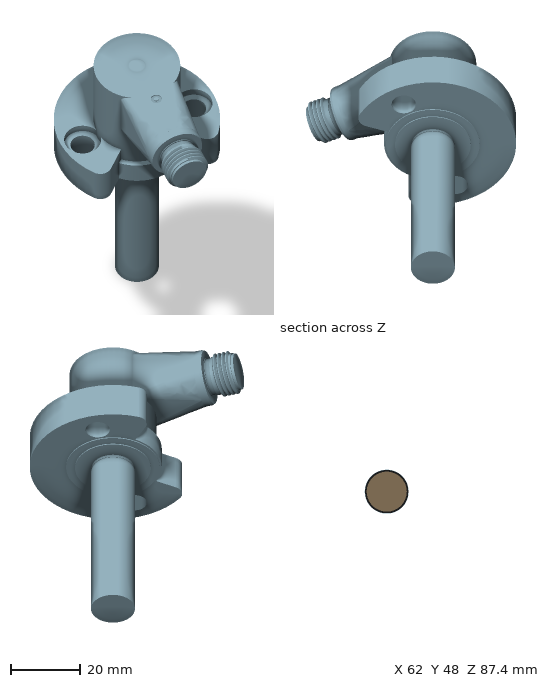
import cadquery as cq
import math

neck_bottom_z = 50.5
underside_z = 52.6
flange_top_z = 63.5
body_top_z = 86.8
overall_height = 87.4

overall_length = 62.0

rod_diameter = 12.7
neck_diameter = 12.4
neck_groove_diameter = 12.15
neck_groove_z = 51.0
neck_groove_width = 0.3

pad_step = 0.3
outer_pad_diameter = 27.0
inner_pad_diameter = 21.85

flange_diameter = 48.0
flange_radius = flange_diameter / 2
opening_half_angle = math.radians(45)
horn_fillet = 3.3
hub_diameter = 28.1
hub_top_z = 59.3

hole_x = 1.0
hole_y = 17.5
hole_diameter = 7.0
counterbore_diameter = 10.7
counterbore_depth = 2.3

body_diameter = 25.0
button_diameter = 5.1
button_overlap = 0.3

collar_diameter = 16.2
collar_start_x = 26.8
collar_end_x = 29.1
collar_chamfer_length = 0.7
collar_chamfer_depth = 0.3
arm_start_x = 5.25
arm_start_width = 18.1
arm_start_corner = 0.9
arm_end_flat = 0.02
arm_axis_z = body_top_z - collar_diameter / 2

indicator_x = 14.0
indicator_outer_diameter = 3.15
indicator_inner_diameter = 1.4
indicator_depth = 0.3

connector_end_x = overall_length - flange_radius
connector_diameter = 10.6
connector_shoulder_end_x = 29.4
thread_root_diameter = 11.2
thread_zone_start_x = 30.85
thread_zone_end_x = 37.15
thread_diameter = 12.7
thread_start_x = 31.9
thread_turns = 4
thread_length = 5.1
thread_pitch = thread_length / thread_turns
thread_root_width = 1.1
thread_crest_width = 0.3
thread_overlap = 0.1


def disc(diameter, bottom_z, top_z):
    """Cylinder on the Z axis between two heights."""
    return cq.Workplane("XY").workplane(offset=bottom_z).circle(diameter / 2).extrude(top_z - bottom_z)


def arm_disc(diameter, start_x, end_x):
    """Cylinder on the arm axis between two X positions."""
    plane = cq.Workplane("YZ", origin=(start_x, 0, arm_axis_z))
    return plane.circle(diameter / 2).extrude(end_x - start_x)


def make_rod():
    """Rod, grooved neck and the stepped pads that meet the flange."""
    groove_top_z = neck_groove_z + neck_groove_width
    inner_pad_z = underside_z - 2 * pad_step
    rod = disc(rod_diameter, 0, neck_bottom_z)
    rod = rod.union(disc(neck_diameter, neck_bottom_z, neck_groove_z))
    rod = rod.union(disc(neck_groove_diameter, neck_groove_z, groove_top_z))
    rod = rod.union(disc(neck_diameter, groove_top_z, inner_pad_z))
    rod = rod.union(disc(inner_pad_diameter, inner_pad_z, underside_z))
    return rod.union(disc(outer_pad_diameter, underside_z - pad_step, underside_z))


def make_flange():
    """Disc with an open sector, rounded horns and two counterbored holes."""
    edge_x = flange_radius * math.cos(opening_half_angle)
    edge_y = flange_radius * math.sin(opening_half_angle)
    flange = (
        cq.Workplane("XY", origin=(0, 0, underside_z))
        .lineTo(edge_x, edge_y)
        .threePointArc((-flange_radius, 0), (edge_x, -edge_y))
        .close()
        .extrude(flange_top_z - underside_z)
    )
    flange = flange.edges("|Z").edges(">X").fillet(horn_fillet)
    return (
        flange.faces(">Z")
        .workplane(origin=(0, 0, flange_top_z))
        .pushPoints([(hole_x, hole_y), (hole_x, -hole_y)])
        .cboreHole(hole_diameter, counterbore_diameter, counterbore_depth)
    )


def make_button():
    """Low spherical cap on top of the body."""
    cap_height = overall_height - body_top_z
    cap_radius = button_diameter / 2
    sphere_radius = (cap_radius**2 + cap_height**2) / (2 * cap_height)
    sphere = cq.Workplane("XY").sphere(sphere_radius)
    sphere = sphere.translate((0, 0, overall_height - sphere_radius))
    return sphere.intersect(disc(body_diameter, body_top_z - button_overlap, overall_height))


def rounded_section(x, width, height, corner):
    """Rounded rectangle across the arm axis at an X position."""
    sketch = cq.Sketch().rect(width, height).vertices().fillet(corner)
    return sketch.moved(cq.Location(cq.Vector(0, 0, x)))


def make_arm():
    """Side arm with flat faces tapering to its collar, plus the indicator ring."""
    end_corner = (collar_diameter - arm_end_flat) / 2
    arm = (
        cq.Workplane("YZ", origin=(0, 0, arm_axis_z))
        .placeSketch(
            rounded_section(arm_start_x, arm_start_width, collar_diameter, arm_start_corner),
            rounded_section(collar_start_x, collar_diameter, collar_diameter, end_corner),
        )
        .loft(ruled=True)
    )
    collar = arm_disc(collar_diameter, collar_start_x, collar_end_x)
    arm = arm.union(collar.faces(">X").chamfer(collar_chamfer_length, collar_chamfer_depth))
    ring = (
        cq.Workplane("XY", origin=(indicator_x, 0, body_top_z))
        .circle(indicator_outer_diameter / 2)
        .circle(indicator_inner_diameter / 2)
        .extrude(-indicator_depth)
    )
    return arm.cut(ring)


def make_connector():
    """Connector core with a shoulder and a helical thread."""
    root_radius = thread_root_diameter / 2
    helix = cq.Wire.makeHelix(thread_pitch, thread_length, root_radius)
    root = root_radius - thread_overlap
    crest = thread_diameter / 2
    thread = (
        cq.Workplane("XZ")
        .moveTo(root, -thread_root_width / 2)
        .lineTo(crest, -thread_crest_width / 2)
        .lineTo(crest, thread_crest_width / 2)
        .lineTo(root, thread_root_width / 2)
        .close()
        .sweep(cq.Workplane(helix), isFrenet=True)
        .rotate((0, 0, 0), (0, 0, 1), 180)
        .rotate((0, 0, 0), (0, 1, 0), 90)
        .translate((thread_start_x, 0, arm_axis_z))
    )
    connector = arm_disc(connector_diameter, collar_end_x, connector_end_x)
    connector = connector.union(arm_disc(thread_root_diameter, collar_end_x, connector_shoulder_end_x))
    connector = connector.union(arm_disc(thread_root_diameter, thread_zone_start_x, thread_zone_end_x))
    return connector.union(thread)


result = (
    make_rod()
    .union(make_flange())
    .union(disc(hub_diameter, underside_z, hub_top_z))
    .union(disc(body_diameter, underside_z, body_top_z))
    .union(make_button())
    .union(make_arm())
    .union(make_connector())
)